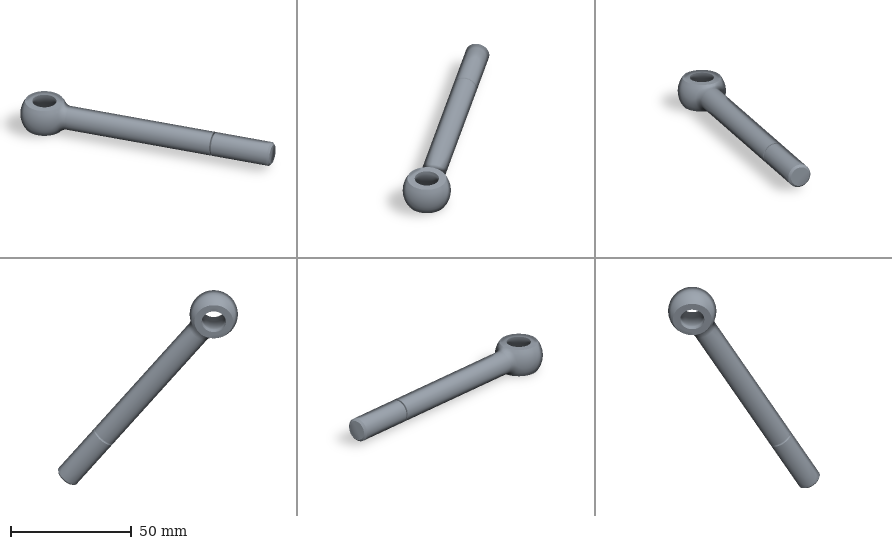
import cadquery as cq
import math

total_length = 110.0
ball_diameter = 20.0
eye_thickness = 12.0
hole_diameter = 10.0

shank_diameter = 10.0
shank_start = 10.7

groove_start = 73.9
groove_width = 0.8

end_chamfer = 0.9

ball_radius = ball_diameter / 2
shank_radius = shank_diameter / 2
shank_end = total_length - ball_radius

fillet_radius = (ball_radius**2 - shank_start**2 - shank_radius**2) / (2 * (shank_radius - ball_radius))
fillet_centre_radius = shank_radius + fillet_radius
fillet_centre_angle = math.atan2(fillet_centre_radius, shank_start)
ball_contact = (
    ball_radius * math.cos(fillet_centre_angle),
    ball_radius * math.sin(fillet_centre_angle),
)
arc_middle_angle = (-math.pi / 2 + fillet_centre_angle - math.pi) / 2
fillet_middle = (
    shank_start + fillet_radius * math.cos(arc_middle_angle),
    fillet_centre_radius + fillet_radius * math.sin(arc_middle_angle),
)


def make_shank():
    groove_end = groove_start + groove_width
    profile = (
        cq.Workplane("XY")
        .lineTo(*ball_contact)
        .threePointArc(fillet_middle, (shank_start, shank_radius))
        .lineTo(groove_start, shank_radius)
        .lineTo(groove_start, shank_radius - groove_width)
        .lineTo(groove_end, shank_radius)
        .lineTo(shank_end - end_chamfer, shank_radius)
        .lineTo(shank_end, shank_radius - end_chamfer)
        .lineTo(shank_end, 0)
        .close()
    )
    return profile.revolve(360, (0, 0, 0), (1, 0, 0))


def make_hole():
    return cq.Workplane("XY").circle(hole_diameter / 2).extrude(eye_thickness, both=True)


ball = cq.Workplane("XY").sphere(ball_radius)
flat_slab = cq.Workplane("XY").box(2 * total_length, ball_diameter, eye_thickness)
result = ball.union(make_shank()).intersect(flat_slab).cut(make_hole())